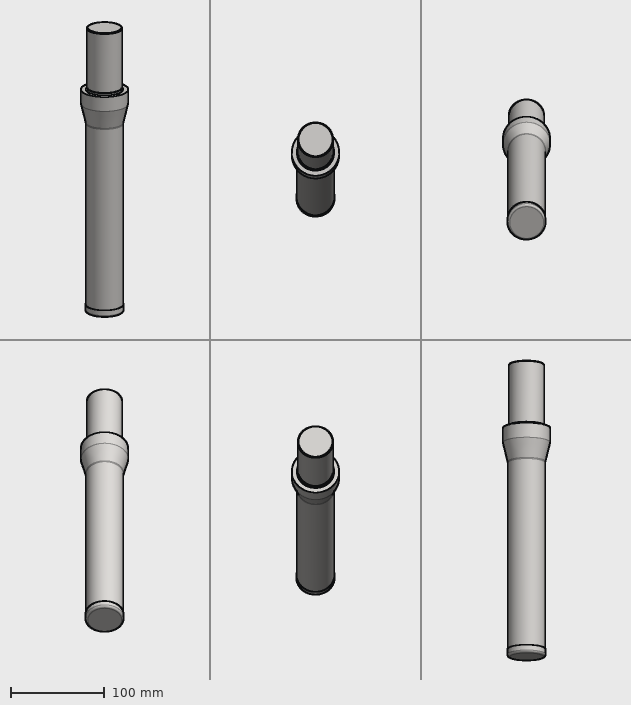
import cadquery as cq

total_length = 321.23
collar_diameter = 50.8

tube_diameter = 40.4
band_top_diameter = 40.9
band_bottom_diameter = 41.5
band_height = 8.2
band_fillet = 2.5
collar_height = 15.9
cone_height = 21.6
cone_foot_fillet = 5.0
bore_depth = 20.0
bore_mouth_chamfer = 2.0

rod_diameter = 38.1
rod_chamfer = 1.0
neck_diameter = 36.0
rod_exposed_length = 70.0
neck_gap = 1.6

collar_top = total_length - rod_exposed_length
collar_bottom = collar_top - collar_height
cone_bottom = collar_bottom - cone_height
bore_floor = collar_top - bore_depth
rod_shoulder = collar_top + neck_gap

tube_radius = tube_diameter / 2
collar_radius = collar_diameter / 2
rod_radius = rod_diameter / 2
neck_radius = neck_diameter / 2


def revolve_profile(points):
    """Revolve a closed (radius, height) outline about the Z axis."""
    return cq.Workplane("XZ").polyline(points).close().revolve(360, (0, 0, 0), (0, 1, 0))


def circle_edge_at(radius, height):
    """Select the circular edge of the given radius about Z at one height."""
    margin = 0.01
    reach = radius + margin
    return cq.selectors.BoxSelector(
        (-reach, -reach, height - margin),
        (reach, reach, height + margin),
        boundingbox=True,
    )


def make_housing():
    """Tube, bottom band and collar, with a blind bore for the rod neck."""
    body = revolve_profile([
        (0, 0),
        (band_bottom_diameter / 2, 0),
        (band_top_diameter / 2, band_height),
        (tube_radius, band_height),
        (tube_radius, cone_bottom),
        (collar_radius, collar_bottom),
        (collar_radius, collar_top),
        (neck_radius + bore_mouth_chamfer, collar_top),
        (neck_radius, collar_top - bore_mouth_chamfer),
        (neck_radius, bore_floor),
        (0, bore_floor),
    ])
    body = body.edges(circle_edge_at(band_bottom_diameter / 2, 0)).fillet(band_fillet)
    return body.edges(circle_edge_at(tube_radius, cone_bottom)).fillet(cone_foot_fillet)


def make_rod():
    """Rod with chamfered ends above a neck seated on the bore floor."""
    return revolve_profile([
        (0, bore_floor),
        (neck_radius, bore_floor),
        (neck_radius, rod_shoulder),
        (rod_radius - rod_chamfer, rod_shoulder),
        (rod_radius, rod_shoulder + rod_chamfer),
        (rod_radius, total_length - rod_chamfer),
        (rod_radius - rod_chamfer, total_length),
        (0, total_length),
    ])


housing = make_housing()
rod = make_rod()
result = cq.Compound.makeCompound([housing.val(), rod.val()])